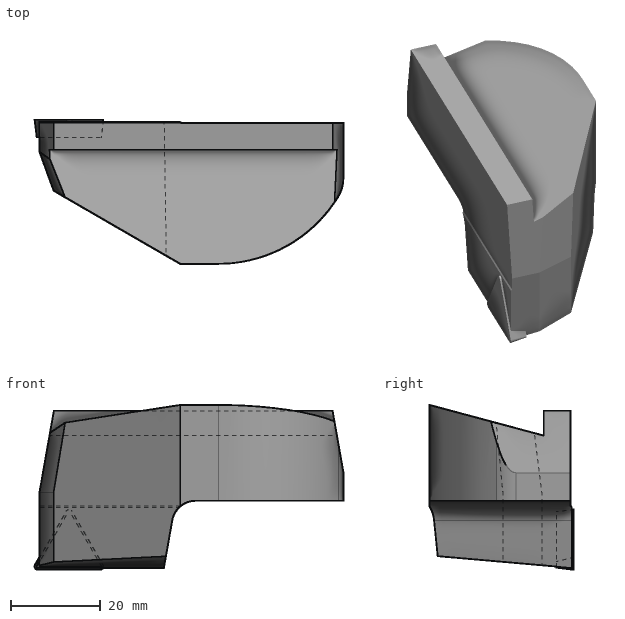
import cadquery as cq
import math


def tan_deg(angle):
    return math.tan(math.radians(angle))


length = 69.0
depth = 32.2
height = 36.85

inscribed_diameter = 9.5
insert_side = inscribed_diameter * math.sqrt(3)
nose_radius = 0.75
insert_thickness = 3.9
clearance_angle = 7.0

pad_back_y = -0.4
slab_back_y = -0.7
pad_top_z = 14.0
slab_front_y = -6.7
slab_top_z = 35.55
top_slope = 15.0
bottom_slope = 5.0
bottom_z = 0.4
front_y = -depth
front_bottom_z = bottom_z + (pad_back_y - front_y) * tan_deg(bottom_slope)
ledge_z = height - (slab_front_y - front_y) * tan_deg(top_slope)
pad_chamfer = pad_back_y - slab_back_y

left_x = 1.1
corner_x = 4.3
left_facet_y = -7.2
corner_y = -15.9
flat_start_x = 32.6
flat_end_x = 41.0
nose_arc_radius = 31.45
side_round_radius = 8.3

left_taper_z = 17.3
right_taper_z = 21.75
end_taper = 10.0
facet_taper = 7.0
underside_z = 15.4
leg_bottom_x = 28.9
leg_slope = 10.0
leg_fillet_radius = 5.2


def make_insert():
    """Equilateral triangle with rounded noses, tapering forward from its rear face."""
    sharp_left_x = nose_radius * (1 - math.sqrt(3))
    triangle = [
        (sharp_left_x, 0),
        (sharp_left_x + insert_side, 0),
        (sharp_left_x + insert_side / 2, insert_side * math.sqrt(3) / 2),
    ]
    blank = cq.Workplane("XZ").polyline(triangle).close().extrude(insert_thickness)
    rounded = blank.edges("|Y").fillet(nose_radius)
    return rounded.faces(">Y").wires().toPending().workplane(origin=(0, 0, 0)).extrude(
        -insert_thickness, combine=False, taper=clearance_angle
    )


def make_plan_prism():
    """Plan outline: bevelled left end, straight front and a large arc blending into the right end."""
    arc_center_y = front_y + nose_arc_radius
    round_center_x = length - side_round_radius
    center_gap = nose_arc_radius - side_round_radius
    round_center_y = arc_center_y - math.sqrt(center_gap**2 - (round_center_x - flat_end_x) ** 2)
    blend_angle = math.atan2(round_center_y - arc_center_y, round_center_x - flat_end_x)

    def arc_point(angle):
        return (
            flat_end_x + nose_arc_radius * math.cos(angle),
            arc_center_y + nose_arc_radius * math.sin(angle),
        )

    def round_point(angle):
        return (
            round_center_x + side_round_radius * math.cos(angle),
            round_center_y + side_round_radius * math.sin(angle),
        )

    arc_start_angle = -math.pi / 2
    outline = (
        cq.Workplane("XY")
        .moveTo(left_x, 0)
        .lineTo(left_x, left_facet_y)
        .lineTo(corner_x, corner_y)
        .lineTo(flat_start_x, front_y)
        .lineTo(flat_end_x, front_y)
        .threePointArc(arc_point((arc_start_angle + blend_angle) / 2), arc_point(blend_angle))
        .threePointArc(round_point(blend_angle / 2), round_point(0))
        .lineTo(length, 0)
        .close()
    )
    return outline.extrude(height)


def make_side_prism():
    """Profile along X: sloped base, rear pad, upright slab and rising top face."""
    profile = [
        (pad_back_y, bottom_z),
        (pad_back_y, pad_top_z),
        (slab_back_y, pad_top_z + pad_chamfer),
        (slab_back_y, slab_top_z),
        (slab_front_y, slab_top_z),
        (slab_front_y, ledge_z),
        (front_y, height),
        (front_y, front_bottom_z),
    ]
    return cq.Workplane("YZ").polyline(profile).close().extrude(length)


def make_front_prism():
    """Profile along Y: both ends lean inward and a leg drops at the left."""
    left_lean = (height - left_taper_z) * tan_deg(end_taper)
    right_lean = (height - right_taper_z) * tan_deg(end_taper)
    leg_top_x = leg_bottom_x + (underside_z - bottom_z) * tan_deg(leg_slope)
    profile = [
        (left_x, bottom_z),
        (left_x, left_taper_z),
        (left_x + left_lean, height),
        (length - right_lean, height),
        (length, right_taper_z),
        (length, underside_z),
        (leg_top_x, underside_z),
        (leg_bottom_x, bottom_z),
    ]
    prism = cq.Workplane("XZ").polyline(profile).close().extrude(depth)
    leg_corner = cq.selectors.NearestToPointSelector((leg_top_x, front_y / 2, underside_z))
    return prism.edges("|Y").edges(leg_corner).fillet(leg_fillet_radius)


def make_facet_wedge():
    """Wedge whose sloping face leans the upper part of the left bevel inward."""
    run_x = corner_x - left_x
    run_y = corner_y - left_facet_y
    bevel_plane = cq.Plane(
        origin=(left_x, left_facet_y, left_taper_z),
        xDir=(-run_y, run_x, 0),
        normal=(run_x, run_y, 0),
    )
    rise = height - left_taper_z
    lean = rise * tan_deg(facet_taper)
    section = [(0, 0), (lean, rise), (-depth, rise), (-depth, 0)]
    return cq.Workplane(bevel_plane).polyline(section).close().extrude(depth, both=True)


def make_holder(insert):
    holder = make_plan_prism().intersect(make_side_prism()).intersect(make_front_prism())
    return holder.cut(make_facet_wedge()).cut(insert)


cutting_insert = make_insert()
holder_body = make_holder(cutting_insert)

result = cq.Compound.makeCompound([holder_body.val(), cutting_insert.val()])